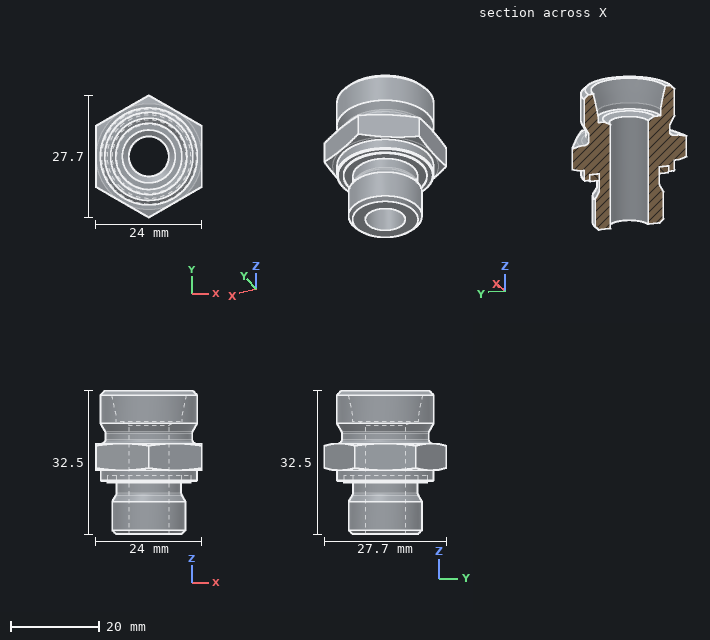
import cadquery as cq
import math

TOTAL_HEIGHT = 32.5
STUD_CHAMFER = 0.9
STUD_THREAD_TOP = 7.38
COLLAR_BOTTOM = 12.0
HEX_BOTTOM = 14.5
HEX_TOP = 20.5
PORT_THREAD_BOTTOM = 25.1
PORT_CHAMFER = 1.0

STUD_RADIUS = 16.67 / 2
STUD_NECK_RADIUS = 14.7 / 2
COLLAR_RADIUS = 21.9 / 2
COLLAR_CHAMFER = 0.23
PORT_NECK_RADIUS = 19.7 / 2
PORT_RADIUS = 22.0 / 2
RUNOUT_ANGLE = 30.0
RUNOUT_BLEND = 1.0
HEX_FILLET = 1.0

ACROSS_FLATS = 24.0
ACROSS_CORNERS = ACROSS_FLATS / math.cos(math.radians(30))
HEX_CHAMFER_ANGLE = 15.0

BORE_RADIUS = 9.0 / 2
SOCKET_RADIUS = 15.0 / 2
SOCKET_DEPTH = 6.92
MOUTH_RADIUS = 17.32 / 2
MOUTH_ANGLE = 12.0
COUNTERSINK_RADIUS = 12.0 / 2
COUNTERSINK_ANGLE = 60.0

SEAL_RADIUS = 18.9 / 2
SEAL_PROTRUSION = 0.3
SEAL_RECESS_DEPTH = 1.3


def slope_height(radial_change, half_angle):
    """Axial length of a cone with this change of radius."""
    return radial_change / math.tan(math.radians(half_angle))


def revolve_outline(outline):
    """Revolve a closed (radius, height) outline about Z."""
    return outline.close().revolve(360, (0, 0, 0), (0, 1, 0))


def runout_blend(neck_radius, corner_z, cone_direction):
    """Neck end, arc middle and cone end of the blend; the direction is the sign of Z along the cone."""
    angle = math.radians(RUNOUT_ANGLE)
    tangent = RUNOUT_BLEND * math.tan(angle / 2)
    start_z = corner_z - cone_direction * tangent

    def arc_point(turn):
        radius = neck_radius + RUNOUT_BLEND * (1 - math.cos(turn))
        return radius, start_z + cone_direction * RUNOUT_BLEND * math.sin(turn)

    return arc_point(0), arc_point(angle / 2), arc_point(angle)


def make_turned_body():
    """Stud, collar and port with their necks, without the hexagon and bore."""
    stud_corner = STUD_THREAD_TOP + slope_height(STUD_RADIUS - STUD_NECK_RADIUS, RUNOUT_ANGLE)
    port_corner = PORT_THREAD_BOTTOM - slope_height(PORT_RADIUS - PORT_NECK_RADIUS, RUNOUT_ANGLE)
    stud_neck_end, stud_arc_middle, stud_cone_end = runout_blend(STUD_NECK_RADIUS, stud_corner, -1)
    port_neck_end, port_arc_middle, port_cone_end = runout_blend(PORT_NECK_RADIUS, port_corner, 1)
    fillet_offset = HEX_FILLET * (1 - math.sqrt(0.5))
    outline = (
        cq.Workplane("XZ")
        .moveTo(0, 0)
        .lineTo(STUD_RADIUS - STUD_CHAMFER, 0)
        .lineTo(STUD_RADIUS, STUD_CHAMFER)
        .lineTo(STUD_RADIUS, STUD_THREAD_TOP)
        .lineTo(*stud_cone_end)
        .threePointArc(stud_arc_middle, stud_neck_end)
        .lineTo(STUD_NECK_RADIUS, COLLAR_BOTTOM)
        .lineTo(COLLAR_RADIUS - COLLAR_CHAMFER, COLLAR_BOTTOM)
        .lineTo(COLLAR_RADIUS, COLLAR_BOTTOM + COLLAR_CHAMFER)
        .lineTo(COLLAR_RADIUS, HEX_TOP)
        .lineTo(PORT_NECK_RADIUS + HEX_FILLET, HEX_TOP)
        .threePointArc(
            (PORT_NECK_RADIUS + fillet_offset, HEX_TOP + fillet_offset),
            (PORT_NECK_RADIUS, HEX_TOP + HEX_FILLET),
        )
        .lineTo(*port_neck_end)
        .threePointArc(port_arc_middle, port_cone_end)
        .lineTo(PORT_RADIUS, PORT_THREAD_BOTTOM)
        .lineTo(PORT_RADIUS, TOTAL_HEIGHT - PORT_CHAMFER)
        .lineTo(PORT_RADIUS - PORT_CHAMFER, TOTAL_HEIGHT)
        .lineTo(0, TOTAL_HEIGHT)
    )
    return revolve_outline(outline)


def make_hexagon():
    """Hexagon with corners on the Y axis and conical chamfers at both ends."""
    flat_radius = ACROSS_FLATS / 2
    corner_radius = ACROSS_CORNERS / 2
    corner_drop = (corner_radius - flat_radius) * math.tan(math.radians(HEX_CHAMFER_ANGLE))
    prism = (
        cq.Workplane("XY")
        .workplane(offset=HEX_BOTTOM)
        .polygon(6, ACROSS_CORNERS)
        .extrude(HEX_TOP - HEX_BOTTOM)
        .rotate((0, 0, 0), (0, 0, 1), 30)
    )
    envelope = revolve_outline(
        cq.Workplane("XZ")
        .moveTo(0, HEX_BOTTOM)
        .lineTo(flat_radius, HEX_BOTTOM)
        .lineTo(corner_radius, HEX_BOTTOM + corner_drop)
        .lineTo(corner_radius, HEX_TOP - corner_drop)
        .lineTo(flat_radius, HEX_TOP)
        .lineTo(0, HEX_TOP)
    )
    return prism.intersect(envelope)


def make_bore():
    """Through bore with countersink, tube socket and conical mouth."""
    socket_floor = TOTAL_HEIGHT - SOCKET_DEPTH
    mouth_bottom = TOTAL_HEIGHT - slope_height(MOUTH_RADIUS - SOCKET_RADIUS, MOUTH_ANGLE)
    countersink_depth = slope_height(COUNTERSINK_RADIUS - BORE_RADIUS, COUNTERSINK_ANGLE)
    return revolve_outline(
        cq.Workplane("XZ")
        .moveTo(0, 0)
        .lineTo(BORE_RADIUS, 0)
        .lineTo(BORE_RADIUS, socket_floor - countersink_depth)
        .lineTo(COUNTERSINK_RADIUS, socket_floor)
        .lineTo(SOCKET_RADIUS, socket_floor)
        .lineTo(SOCKET_RADIUS, mouth_bottom)
        .lineTo(MOUTH_RADIUS, TOTAL_HEIGHT)
        .lineTo(0, TOTAL_HEIGHT)
    )


def make_seal():
    """Flat ring around the stud neck, standing slightly out of the collar."""
    return (
        cq.Workplane("XY")
        .workplane(offset=COLLAR_BOTTOM - SEAL_PROTRUSION)
        .circle(SEAL_RADIUS)
        .circle(STUD_NECK_RADIUS)
        .extrude(SEAL_PROTRUSION + SEAL_RECESS_DEPTH)
    )


def make_fitting(seal):
    """Complete fitting, with a recess in the collar that matches the seal."""
    return make_turned_body().union(make_hexagon()).cut(make_bore()).cut(seal)


seal = make_seal()
fitting = make_fitting(seal)

result = cq.Compound.makeCompound([fitting.solids().val(), seal.val()])